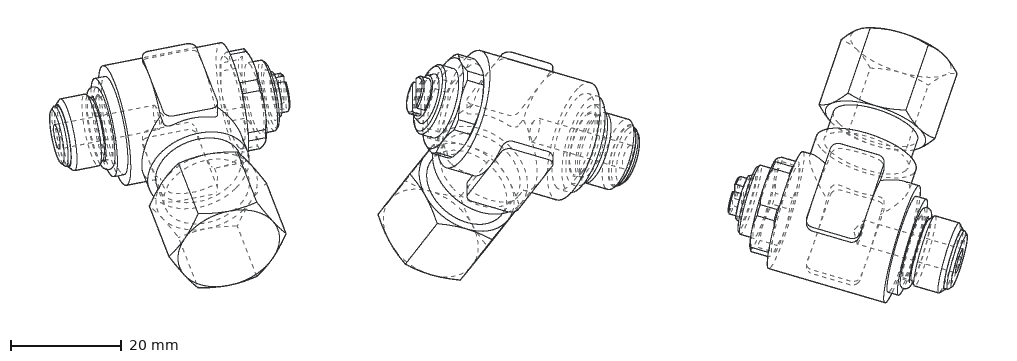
import cadquery as cq
import math


overall_length = 46.55

body_diameter = 22.0
body_radius = body_diameter / 2
body_back = 10.45
body_front = body_back - body_diameter

pad_left = -6.05
pad_width = 10.1
pad_corner_radius = 1.5

port_radius = 9.5
port_end = 15.0
neck_radius = 8.0
nut_across_flats = 19.0
nut_length = 15.0
nut_end = overall_length - body_radius
nut_start = nut_end - nut_length
nut_face_radius = nut_across_flats / 2

flange_radius = 9.05
flange_thickness = 1.95
flange_front = body_front - flange_thickness
ring_radius = 7.6
ring_section_radius = 0.9
ring_center_radius = ring_radius - ring_section_radius
ring_center_offset = 0.6
ring_center_y = flange_front - ring_center_offset

stud_end = -22.35
stud_radius = 6.6
stud_root_radius = 5.75
stud_thread_start = -15.05
stud_back_chamfer = 0.8
stud_thread_end = -21.2
stud_front_chamfer = 0.85
pilot_radius = 5.55
pilot_end_radius = 4.95
pilot_chamfer_length = 0.6

bore_radius = 2.25
bore_depth = 18.6
drill_point_angle = 118.0

lock_nut_across_flats = 17.0
lock_nut_length = 4.1
lock_nut_corner_radius = 9.25
lock_nut_face_radius = lock_nut_across_flats / 2

collar_radius = 6.5
collar_back = 17.6
collar_chamfer = 0.45
shoulder_base_radius = 4.65
shoulder_middle_radius = 4.5
shoulder_upper_radius = 4.3
shoulder_top_radius = 4.1
shoulder_middle = 17.82
shoulder_upper = 18.25
shoulder_back = 18.6
knob_radius = 3.55
knob_back = 20.35
knob_chamfer = 0.3
slot_width = 1.4

hex_chamfer_angle = 30.0
hex_corner_ratio = 1 / math.cos(math.pi / 6)


def turned_about_y(profile):
    """Revolve a closed list of (radius, y) points about the Y axis."""
    return cq.Workplane("XY").polyline(profile).close().revolve(360, (0, 0, 0), (0, 1, 0))


def chamfered_hexagon(across_flats, length, outer_radius, face_radius):
    """Hexagon along +Z from the origin, flats facing Y, with both ends chamfered conically."""
    corner_diameter = across_flats * hex_corner_ratio
    chamfer_length = (outer_radius - face_radius) * math.tan(math.radians(hex_chamfer_angle))
    hexagon = cq.Workplane("XY").polygon(6, corner_diameter).extrude(length)
    envelope = (
        cq.Workplane("XZ")
        .polyline([
            (0, 0),
            (face_radius, 0),
            (outer_radius, chamfer_length),
            (outer_radius, length - chamfer_length),
            (face_radius, length),
            (0, length),
        ])
        .close()
        .revolve(360, (0, 0, 0), (0, 1, 0))
    )
    return hexagon.intersect(envelope)


def make_body():
    return cq.Workplane("XZ", origin=(0, body_back, 0)).circle(body_radius).extrude(body_diameter)


def make_pads():
    pad_length = body_radius - pad_left
    pad_center_x = (body_radius + pad_left) / 2
    return (
        cq.Workplane("XY")
        .center(pad_center_x, 0)
        .rect(pad_length, pad_width)
        .extrude(body_radius, both=True)
        .edges("|Z")
        .fillet(pad_corner_radius)
    )


def make_side_port():
    port = cq.Workplane("YZ").circle(port_radius).extrude(port_end)
    neck = cq.Workplane("YZ").circle(neck_radius).extrude(nut_start)
    return port.union(neck)


def make_union_nut():
    corner_radius = nut_face_radius * hex_corner_ratio
    nut = chamfered_hexagon(nut_across_flats, nut_length, corner_radius, nut_face_radius)
    return (
        nut.rotate((0, 0, 0), (0, 0, 1), 90)
        .rotate((0, 0, 0), (0, 1, 0), 90)
        .translate((nut_start, 0, 0))
    )


def make_lock_nut():
    nut = chamfered_hexagon(
        lock_nut_across_flats, lock_nut_length, lock_nut_corner_radius, lock_nut_face_radius
    )
    return nut.rotate((0, 0, 0), (1, 0, 0), -90).translate((0, body_back, 0))


def make_stud():
    thread_tip_radius = stud_radius - stud_front_chamfer
    flange_and_stud = turned_about_y([
        (0, 0),
        (flange_radius, 0),
        (flange_radius, flange_front),
        (stud_root_radius, flange_front),
        (stud_root_radius, stud_thread_start),
        (stud_radius, stud_thread_start - stud_back_chamfer),
        (stud_radius, stud_thread_end + stud_front_chamfer),
        (thread_tip_radius, stud_thread_end),
        (pilot_radius, stud_thread_end),
        (pilot_radius, stud_end + pilot_chamfer_length),
        (pilot_end_radius, stud_end),
        (0, stud_end),
    ])
    o_ring = (
        cq.Workplane("XY")
        .center(ring_center_radius, ring_center_y)
        .circle(ring_section_radius)
        .revolve(360, (-ring_center_radius, 0, 0), (-ring_center_radius, 1, 0))
    )
    return flange_and_stud.union(o_ring)


def make_bore():
    bore_bottom = stud_end + bore_depth
    point_length = bore_radius / math.tan(math.radians(drill_point_angle / 2))
    return turned_about_y([
        (0, stud_end),
        (bore_radius, stud_end),
        (bore_radius, bore_bottom),
        (0, bore_bottom + point_length),
    ])


def make_screw():
    screw = turned_about_y([
        (0, 0),
        (collar_radius, 0),
        (collar_radius, collar_back - collar_chamfer),
        (collar_radius - collar_chamfer, collar_back),
        (shoulder_base_radius, collar_back),
        (shoulder_middle_radius, shoulder_middle),
        (shoulder_upper_radius, shoulder_upper),
        (shoulder_top_radius, shoulder_back),
        (knob_radius, shoulder_back),
        (knob_radius, knob_back - knob_chamfer),
        (knob_radius - knob_chamfer, knob_back),
        (0, knob_back),
    ])
    slot_depth = knob_back - shoulder_back
    slot = cq.Workplane("XY").box(slot_width, slot_depth, 2 * knob_radius)
    return screw.cut(slot.translate((0, knob_back - slot_depth / 2, 0)))


result = (
    make_body()
    .union(make_pads())
    .union(make_side_port())
    .union(make_union_nut())
    .union(make_lock_nut())
    .union(make_screw())
    .union(make_stud())
    .cut(make_bore())
)